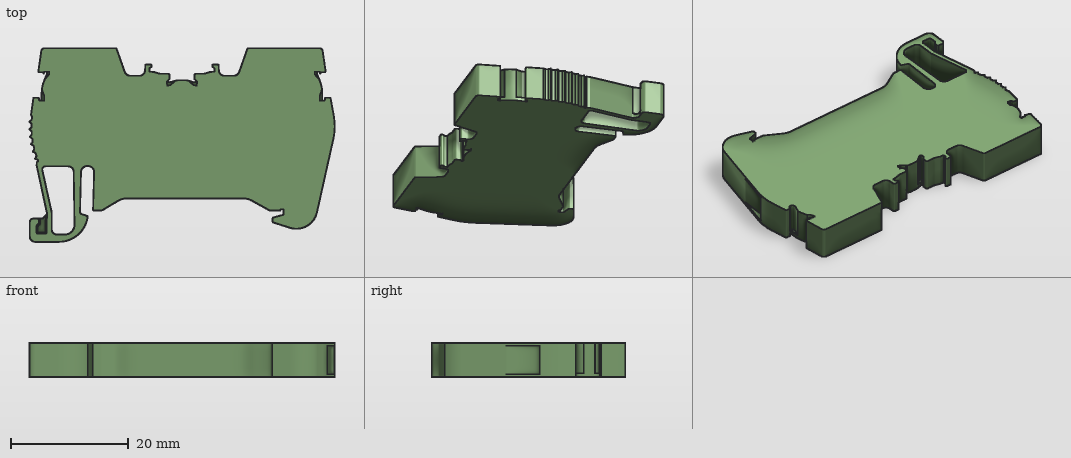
import cadquery as cq
import math

LENGTH = 52.0
HEIGHT = 33.0
THICKNESS = 5.8

WEB_THICKNESS = 0.65
FOOT_RECESS_CHAMFER = 0.25

GRIP_RADIUS = 15.0
RIB_HEIGHT = 0.38
GRIP_CENTER_X = GRIP_RADIUS + RIB_HEIGHT
GRIP_CENTER_Y = 19.6
RIB_COUNT = 6
RIB_PITCH_ANGLE = 4.8
RIB_HALF_ANGLE = 1.3
FIRST_RIB_ANGLE = 3.25
GRIP_TOP_ANGLE = 6.5
GRIP_BOTTOM_ANGLE = -22.9

RAIL_Y = 7.4
RAIL_SHOULDER_Y = 5.35
RAIL_BEND_RADIUS = 3.0

SLOT_TOP_Y = 12.9
WINDOW_TOP_Y = 12.85
WINDOW_BOTTOM_Y = 1.3

FLANK_APEX_X = LENGTH + 0.21
FLANK_APEX_Y = 19.5
FLANK_RADIUS = 10.0

MARKER_EDGE_GAP = 0.45
MARKER_FLOOR_X = 50.7
MARKER_WALL_Y = 18.4
MARKER_WALL_RISE = 0.05
MARKER_LOWER_Y = 12.0


def mirrored(points):
    """Reflect (x, y, radius) corners about the middle, reversing their order."""
    return [(LENGTH - x, y, radius) for x, y, radius in reversed(points)]


def rounded_plate(corners, height):
    """Extrude a closed outline of (x, y, radius) corners; radius 0 leaves a corner sharp."""
    sketch = None
    count = len(corners)
    for i, (x, y, radius) in enumerate(corners):
        corner = cq.Vector(x, y)
        before = cq.Vector(*corners[i - 1][:2])
        after = cq.Vector(*corners[(i + 1) % count][:2])
        to_before = (before - corner).normalized()
        to_after = (after - corner).normalized()
        half_angle = to_before.getAngle(to_after) / 2
        setback = radius / math.tan(half_angle)
        start = corner + to_before * setback
        if sketch is None:
            sketch = cq.Workplane("XY").moveTo(start.x, start.y)
        else:
            sketch = sketch.lineTo(start.x, start.y)
        if radius > 0:
            bisector = (to_before + to_after).normalized()
            middle = corner + bisector * (radius / math.sin(half_angle) - radius)
            end = corner + to_after * setback
            sketch = sketch.threePointArc((middle.x, middle.y), (end.x, end.y))
    return sketch.close().extrude(height)


def grip_point(angle, radius):
    """Sharp corner on the left grip at an angle above the -X direction."""
    a = math.radians(angle)
    return (GRIP_CENTER_X - radius * math.cos(a), GRIP_CENTER_Y + radius * math.sin(a), 0)


def grip_corners():
    """Triangular ribs along the grip arc, from bottom to top."""
    corners = [grip_point(GRIP_BOTTOM_ANGLE, GRIP_RADIUS)]
    for i in reversed(range(RIB_COUNT)):
        angle = FIRST_RIB_ANGLE - i * RIB_PITCH_ANGLE
        corners.append(grip_point(angle - RIB_HALF_ANGLE, GRIP_RADIUS))
        corners.append(grip_point(angle, GRIP_RADIUS + RIB_HEIGHT))
        corners.append(grip_point(angle + RIB_HALF_ANGLE, GRIP_RADIUS))
    corners.append(grip_point(GRIP_TOP_ANGLE, GRIP_RADIUS))
    return corners


def upper_left_corners():
    """Side latch, wire-entry shoulder, post and half of the central dome."""
    side_latch = [
        (0.3, 21.65, 0), (0.72, 24.55, 0.15), (1.65, 24.55, 0.2), (1.75, 24.05, 0.1),
        (2.1, 24.05, 0), (2.1, 26.4, 6.0), (3.05, 28.65, 0), (2.95, 28.95, 0),
        (2.6, 28.95, 0), (2.5, 28.65, 0), (2.3, 28.85, 0), (1.52, 28.85, 0.25),
    ]
    shoulder = [
        (2.12, HEIGHT, 0.6), (14.85, HEIGHT, 0.3), (16.5, 28.3, 1.0), (19.65, 28.3, 0.9),
    ]
    post = [
        (19.75, 30.2, 0.2), (20.85, 30.2, 0.2), (20.85, 29.85, 0.1), (20.5, 29.55, 0.1),
        (20.5, 29.0, 0),
    ]
    dome = [
        (21.2, 28.95, 0), (22.2, 28.65, 0), (23.9, 28.65, 0.3), (23.9, 27.75, 0.2),
        (23.4, 27.25, 0), (24.0, 27.2, 0), (25.2, 27.55, 2.0),
    ]
    return side_latch + shoulder + post + dome


def right_corners():
    """Right flank, rigid foot and rail hook, from top to bottom."""
    return [
        (FLANK_APEX_X, FLANK_APEX_Y, FLANK_RADIUS), (48.12, 1.2, 3.6), (41.4, 3.35, 0.2),
        (41.4, 4.15, 0.2), (43.25, 4.65, 0.1), (43.25, 5.55, 0), (42.85, 5.55, 0),
    ]


def underside_corners():
    """Rail seat between the rigid foot and the release slot, from right to left."""
    return [
        (42.7, RAIL_SHOULDER_Y, 0), (40.9, RAIL_SHOULDER_Y, 0.3),
        (37.2, RAIL_Y, RAIL_BEND_RADIUS), (15.8, RAIL_Y, RAIL_BEND_RADIUS),
        (12.4, RAIL_SHOULDER_Y, 0.8), (10.85, RAIL_SHOULDER_Y, 0.2),
    ]


def foot_corners():
    """Release slot and outer outline of the spring foot, ending at the grip."""
    return [
        (11.06, SLOT_TOP_Y, 1.0), (8.87, SLOT_TOP_Y, 1.0), (8.67, 4.85, 0.4),
        (10.0, 4.4, 0.05), (9.4, 0.0, 5.0), (0.1, 0.0, 0.95), (0.1, 4.0, 0.6),
        (2.3, 4.0, 0.3), (3.05, 4.75, 0.4), (1.25, 13.05, 0), (1.28, 13.6, 0),
    ]


def body():
    """Full outline of the housing, extruded through the thickness."""
    upper_left = upper_left_corners()
    corners = grip_corners() + upper_left + mirrored(upper_left[1:])
    corners += right_corners() + underside_corners() + foot_corners()
    return rounded_plate(corners, THICKNESS)


def foot_window():
    """Through window between the two arms of the spring foot."""
    corners = [
        (2.15, WINDOW_TOP_Y, 0.5), (7.55, WINDOW_TOP_Y, 0.9), (7.72, WINDOW_BOTTOM_Y, 1.6),
        (3.87, WINDOW_BOTTOM_Y, 0.8), (3.87, 5.0, 0), (2.27, 12.2, 0),
    ]
    return rounded_plate(corners, THICKNESS)


def top_recess(corners):
    """Recess from the top face down to the thin web."""
    return rounded_plate(corners, THICKNESS - WEB_THICKNESS).translate((0, 0, WEB_THICKNESS))


def snap_recesses():
    """Undercuts at both ends of each side latch and of the central dome."""
    side_upper = [(2.6, 28.95, 0), (3.4, 28.95, 0), (3.4, 28.5, 0), (2.75, 27.8, 0), (2.5, 28.1, 0)]
    side_lower = [(1.9, 25.9, 0), (2.2, 25.9, 0), (2.6, 24.8, 0.2), (2.6, 24.0, 0.2), (1.9, 24.0, 0.1)]
    dome_end = [(23.4, 27.25, 0), (24.9, 27.6, 0), (24.7, 27.25, 0), (24.0, 26.7, 0), (23.5, 26.55, 0)]
    recesses = cq.Workplane("XY")
    for corners in (side_upper, side_lower, dome_end):
        recesses.add(top_recess(corners))
        recesses.add(top_recess(mirrored(corners)))
    return recesses.combine()


def foot_recess():
    """Recess in the spring foot, with a chamfer around its floor."""
    corners = [
        (1.3, 4.2, 0), (1.65, 3.75, 0), (1.65, 3.2, 0), (1.25, 2.8, 0.3), (1.25, 1.4, 0.3),
        (3.0, 1.4, 0.3), (3.05, 4.85, 0),
    ]
    recess = rounded_plate(corners, THICKNESS - WEB_THICKNESS)
    return recess.faces("<Z").chamfer(FOOT_RECESS_CHAMFER).translate((0, 0, WEB_THICKNESS))


def marker_pocket():
    """Wedge pocket in the right flank; its floor runs out on the slanted flank."""
    wedge = [
        (MARKER_FLOOR_X, MARKER_WALL_Y, 0), (FLANK_APEX_X, MARKER_WALL_Y + MARKER_WALL_RISE, 0),
        (FLANK_APEX_X, MARKER_LOWER_Y, 0), (MARKER_FLOOR_X, MARKER_LOWER_Y, 0),
    ]
    pocket_height = THICKNESS - 2 * MARKER_EDGE_GAP
    return rounded_plate(wedge, pocket_height).translate((0, 0, MARKER_EDGE_GAP))


housing = body().cut(foot_window()).cut(snap_recesses()).cut(foot_recess()).cut(marker_pocket())
result = cq.Workplane("XY").newObject([housing.solids().val()])